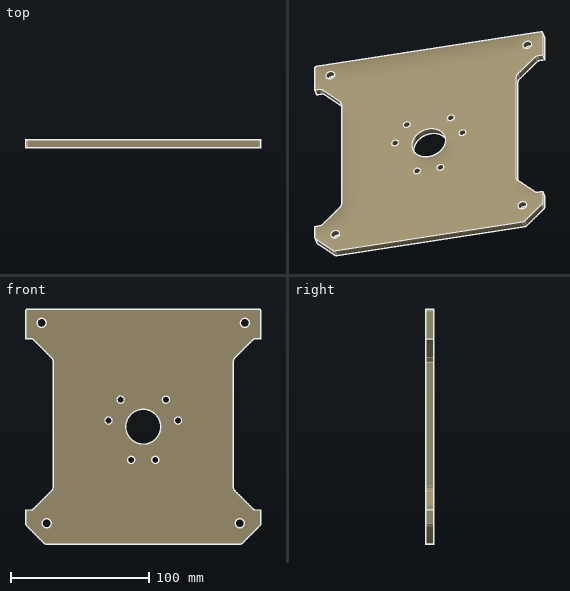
import cadquery as cq
import math

SIDE = 170.0
THICKNESS = 6.0
HALF = SIDE / 2

NECK_DEPTH = 20.0
LIP_WIDTH = 5.0
UPPER_LIP_HEIGHT = 21.5
LOWER_LIP_HEIGHT = 25.0
SHOULDER = NECK_DEPTH - LIP_WIDTH

BOTTOM_CHAMFER = 14.15
TOP_CORNER_RADIUS = 1.5
LIP_RADIUS = 2.0
BOTTOM_RADIUS = 2.5
NECK_RADIUS = 5.0

BORE_DIAMETER = 25.0
PAIR_HOLE_DIAMETER = 5.0
PAIR_CIRCLE_RADIUS = 25.5
PAIR_CENTER_ANGLES = (30, 150, 270)
PAIR_HALF_ANGLE = 20

MOUNT_HOLE_DIAMETER = 6.4
UPPER_MOUNT_X = 73.4
UPPER_MOUNT_Z = 75.0
LOWER_MOUNT_OFFSET = 69.75

SELECTION_REACH = 0.1


def right_outline():
    """Corner points of the +X half, from the bottom edge up to the top edge."""
    lip_x = HALF - LIP_WIDTH
    neck_x = HALF - NECK_DEPTH
    upper_lip_z = HALF - UPPER_LIP_HEIGHT
    lower_lip_z = LOWER_LIP_HEIGHT - HALF
    return [
        (HALF - BOTTOM_CHAMFER, -HALF),
        (HALF, BOTTOM_CHAMFER - HALF),
        (HALF, lower_lip_z),
        (lip_x, lower_lip_z),
        (neck_x, lower_lip_z + SHOULDER),
        (neck_x, upper_lip_z - SHOULDER),
        (lip_x, upper_lip_z),
        (HALF, upper_lip_z),
        (HALF, HALF),
    ]


def edges_at(points):
    """Selector for the plate edges along Y that pass through the given points and their mirror images."""
    selector = None
    for x, z in points:
        for side in (-1, 1):
            low = (side * x - SELECTION_REACH, -THICKNESS, z - SELECTION_REACH)
            high = (side * x + SELECTION_REACH, THICKNESS, z + SELECTION_REACH)
            box = cq.selectors.BoxSelector(low, high)
            selector = box if selector is None else selector + box
    return selector


def plate():
    right = right_outline()
    left = [(-x, z) for x, z in reversed(right)]
    bottom_corners = right[:2]
    neck_corners = right[4:6]
    lip_corners = [right[3], right[6]]
    top_corner = right[-1:]
    return (
        cq.Workplane("XZ", origin=(0, THICKNESS / 2, 0))
        .polyline(right + left)
        .close()
        .extrude(THICKNESS)
        .edges(edges_at(neck_corners))
        .fillet(NECK_RADIUS)
        .edges(edges_at(lip_corners))
        .fillet(LIP_RADIUS)
        .edges(edges_at(bottom_corners))
        .fillet(BOTTOM_RADIUS)
        .edges(edges_at(top_corner))
        .fillet(TOP_CORNER_RADIUS)
    )


def pair_hole_centers():
    centers = []
    for middle in PAIR_CENTER_ANGLES:
        for offset in (-PAIR_HALF_ANGLE, PAIR_HALF_ANGLE):
            angle = math.radians(middle + offset)
            x = PAIR_CIRCLE_RADIUS * math.cos(angle)
            z = PAIR_CIRCLE_RADIUS * math.sin(angle)
            centers.append((x, z))
    return centers


def mount_hole_centers():
    centers = []
    for side in (-1, 1):
        centers.append((side * UPPER_MOUNT_X, UPPER_MOUNT_Z))
        centers.append((side * LOWER_MOUNT_OFFSET, -LOWER_MOUNT_OFFSET))
    return centers


def through_holes(centers, diameter):
    return (
        cq.Workplane("XZ", origin=(0, THICKNESS / 2, 0))
        .pushPoints(centers)
        .circle(diameter / 2)
        .extrude(THICKNESS)
    )


result = (
    plate()
    .cut(through_holes([(0, 0)], BORE_DIAMETER))
    .cut(through_holes(pair_hole_centers(), PAIR_HOLE_DIAMETER))
    .cut(through_holes(mount_hole_centers(), MOUNT_HOLE_DIAMETER))
)